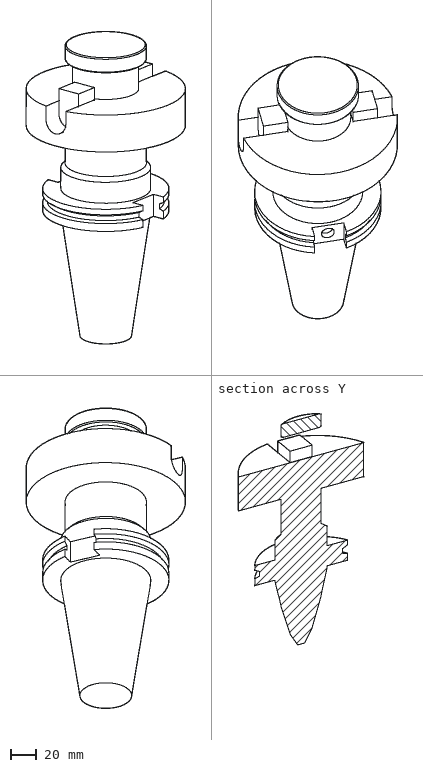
import cadquery as cq

total_height = 239.7
flange_bottom = 103.0
flange_top = 121.3
collar_top = 142.2
disc_bottom = 173.0
disc_top = 203.5

gauge_radius = 35.0
taper_length = 101.6
taper_ratio = 7 / 24
tip_radius = gauge_radius - taper_length * taper_ratio / 2

flange_radius = 49.1
groove_root_radius = 45.5
groove_lower_edge = 109.5
groove_lower_root = 110.8
groove_upper_root = 114.5
groove_upper_edge = 116.7

slot_width = 25.2
slot_floor_x = 37.6
slot_hole_diameter = 10.0
slot_hole_depth = 5.0
slot_hole_z = 112.7

neck_radius = 31.6
collar_chamfer = 3.5
disc_radius = 61.97
spigot_radius = 25.7

head_radius = neck_radius
head_height = 12.5
head_chamfer = 1.0
head_bottom = total_height - head_height

key_width = 20.0
key_top = 213.5
keyway_bottom = 183.1
key_inner_y = 26.0
key_outer_y = 45.3
key_arc_center_z = keyway_bottom + key_width / 2


def u_section_bar(top_z, inner_y, outer_y):
    """Round-bottomed bar along +Y, from inner_y to outer_y."""
    half_width = key_width / 2
    return (
        cq.Workplane("XZ", origin=(0, inner_y, 0))
        .moveTo(-half_width, top_z)
        .lineTo(-half_width, key_arc_center_z)
        .threePointArc((0, keyway_bottom), (half_width, key_arc_center_z))
        .lineTo(half_width, top_z)
        .close()
        .extrude(inner_y - outer_y)
    )


def turned_body():
    """Shank, flange, collar, neck, disc and spigot revolved about Z."""
    profile = [
        (0, 0),
        (tip_radius, 0),
        (gauge_radius, taper_length),
        (gauge_radius, flange_bottom),
        (flange_radius, flange_bottom),
        (flange_radius, groove_lower_edge),
        (groove_root_radius, groove_lower_root),
        (groove_root_radius, groove_upper_root),
        (flange_radius, groove_upper_edge),
        (flange_radius, flange_top),
        (gauge_radius, flange_top),
        (gauge_radius, collar_top - collar_chamfer),
        (neck_radius, collar_top),
        (neck_radius, disc_bottom),
        (disc_radius, disc_bottom),
        (disc_radius, disc_top),
        (spigot_radius, disc_top),
        (spigot_radius, head_bottom),
        (0, head_bottom),
    ]
    return cq.Workplane("XZ").polyline(profile).close().revolve(360, (0, 0, 0), (0, 1, 0))


def drive_slot(side):
    """Rectangular cutter for the flange slot on the -X or +X side."""
    slot_depth = flange_radius - slot_floor_x
    flange_thickness = flange_top - flange_bottom
    return cq.Workplane("XY").box(slot_depth, slot_width, flange_thickness).translate(
        (side * (slot_floor_x + slot_depth / 2), 0, flange_bottom + flange_thickness / 2)
    )


def slot_hole():
    """Blind round hole running inward from the -X slot floor."""
    return (
        cq.Workplane("YZ", origin=(-slot_floor_x, 0, slot_hole_z))
        .circle(slot_hole_diameter / 2)
        .extrude(slot_hole_depth)
    )


def make_holder():
    body = turned_body()
    for side in (-1, 1):
        body = body.cut(drive_slot(side))
    body = body.cut(slot_hole())
    keyway = u_section_bar(disc_top, key_inner_y, disc_radius)
    for angle in (0, 180):
        body = body.cut(keyway.rotate((0, 0, 0), (0, 0, 1), angle))
    return body


def make_screw_head():
    return (
        cq.Workplane("XY", origin=(0, 0, head_bottom))
        .circle(head_radius)
        .extrude(head_height)
        .faces("<Z or >Z")
        .edges()
        .chamfer(head_chamfer)
    )


def make_key(angle):
    key = u_section_bar(key_top, key_inner_y, key_outer_y)
    return key.rotate((0, 0, 0), (0, 0, 1), angle)


holder = make_holder()
screw_head = make_screw_head()
keys = [make_key(angle) for angle in (0, 180)]

result = cq.Compound.makeCompound([holder.val(), screw_head.val(), *[key.val() for key in keys]])